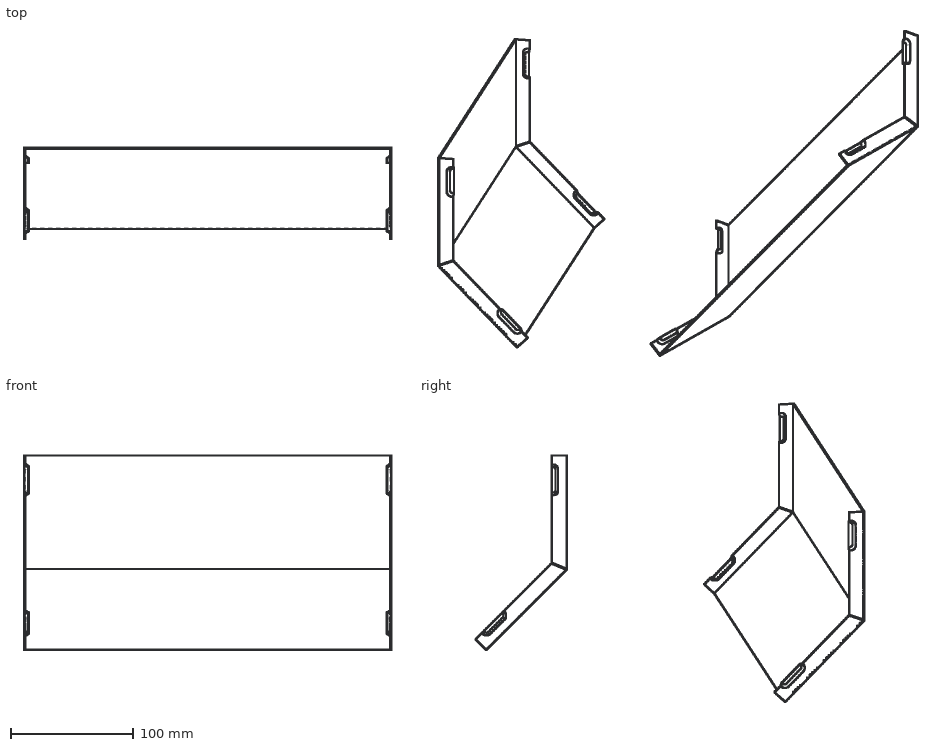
import cadquery as cq
import math

LENGTH = 300.0
LEG = 93.265
FLANGE = 12.5
SHEET = 1.0
BEND = 45.0
SEAM_GAP = 0.5

DIMPLE_FROM_END = 20.0
DIMPLE_LENGTH = 25.0
DIMPLE_REACH = 5.2
DIMPLE_DEPTH = 3.0
DIMPLE_CORNER = 4.0
DIMPLE_DRAFT = 35.0

HALF_LENGTH = LENGTH / 2
DRAFT_ANGLE = math.radians(DIMPLE_DRAFT)
BEND_ANGLE = math.radians(BEND)
HALF_BEND = math.radians(BEND / 2)
MITRE_RISE = math.tan(HALF_BEND)
SEAM_SETBACK = SEAM_GAP / 2 / math.cos(HALF_BEND)
WALL_GROWTH = SHEET * (1 / math.cos(DRAFT_ANGLE) - math.tan(DRAFT_ANGLE))

DEPTH = LEG * math.sin(BEND_ANGLE) + FLANGE * math.cos(BEND_ANGLE)
HEIGHT = LEG + LEG * math.cos(BEND_ANGLE)


def leg_prism(height, setback, x_start, x_end):
    """Mitred slab: the bend is at the origin, the leg runs up +Z and its height runs to -Y."""
    return (
        cq.Workplane("YZ", origin=(x_start, 0, 0))
        .moveTo(0, setback)
        .lineTo(-height, height * MITRE_RISE + setback)
        .lineTo(-height, LEG)
        .lineTo(0, LEG)
        .close()
        .extrude(x_end - x_start)
    )


def dimple_frustum(x_start, growth):
    """Rounded frustum centred on the edge of the left flange, narrowing toward +X."""
    return (
        cq.Workplane("YZ", origin=(x_start, -FLANGE, LEG - DIMPLE_FROM_END))
        .sketch()
        .rect(2 * (DIMPLE_REACH + growth), DIMPLE_LENGTH + 2 * growth)
        .vertices()
        .fillet(DIMPLE_CORNER + growth)
        .finalize()
        .extrude(DIMPLE_DEPTH, taper=DIMPLE_DRAFT)
    )


def left_flange():
    """Flange at the -X end with its dimple, cut off flush with the flange edge."""
    inner_face = -HALF_LENGTH + SHEET
    flange = leg_prism(FLANGE, SEAM_SETBACK, -HALF_LENGTH, inner_face)
    envelope = leg_prism(FLANGE, SEAM_SETBACK, -HALF_LENGTH, 0)
    bump = dimple_frustum(inner_face, WALL_GROWTH).intersect(envelope)
    recess = dimple_frustum(-HALF_LENGTH, 0)
    return flange.union(bump).cut(recess)


def leg():
    """One panel with a dimpled flange at each end."""
    panel = leg_prism(SHEET, 0, -HALF_LENGTH, HALF_LENGTH)
    flange = left_flange()
    return panel.union(flange).union(flange.mirror("YZ"))


upper_leg = leg()
lower_leg = upper_leg.mirror("XY").rotate((0, 0, 0), (1, 0, 0), -BEND)

result = upper_leg.union(lower_leg).translate((0, DEPTH / 2, HEIGHT / 2 - LEG))